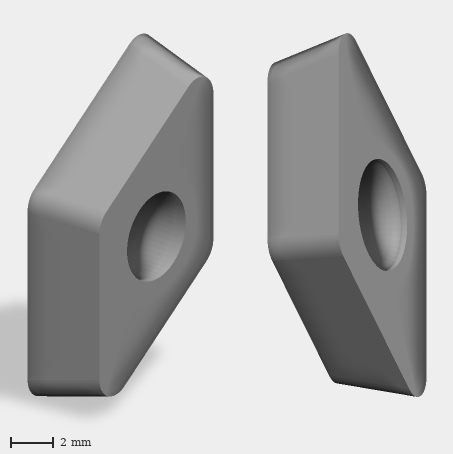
import cadquery as cq
import math

thickness = 3.96
inscribed_diameter = 9.52
acute_angle = 55.0
relief_angle = 7.0
corner_radius = 1.184

hole_diameter = 4.41
mouth_diameter = 5.32
lip_depth = 0.3
lip_taper = 0.03
mouth_depth = 1.77

half_angle = math.radians(acute_angle / 2)
face_x = -thickness / 2


def rounded_rhombus(half_width, x):
    """Closed wire at the given X, two sides along Z, equal radii on all corners."""
    long_reach = half_width / math.tan(half_angle)
    short_reach = half_width * math.tan(half_angle)
    corners = [
        (half_width, long_reach),
        (-half_width, short_reach),
        (-half_width, -long_reach),
        (half_width, -short_reach),
    ]
    outline = cq.Workplane("YZ", origin=(x, 0, 0)).polyline(corners).close().wire().val()
    return outline.fillet2D(corner_radius, outline.Vertices())


def insert_body():
    """Tapered body whose corner radius stays constant through the thickness."""
    half_width = inscribed_diameter / 2
    inset = thickness * math.tan(math.radians(relief_angle))
    large_face = rounded_rhombus(half_width, face_x)
    small_face = rounded_rhombus(half_width - inset, face_x + thickness)
    return cq.Workplane(cq.Solid.makeLoft([large_face, small_face], True))


def screw_hole():
    """Solid of revolution about X: lip, then a mouth curving tangentially into the bore."""
    bore_radius = hole_diameter / 2
    mouth_radius = mouth_diameter / 2
    lip_end_radius = mouth_radius - lip_taper
    curve_depth = mouth_depth - lip_depth
    flare = lip_end_radius - bore_radius
    arc_radius = (curve_depth**2 + flare**2) / (2 * flare)
    half_sweep = math.asin(curve_depth / arc_radius) / 2
    arc_middle = (
        face_x + mouth_depth - arc_radius * math.sin(half_sweep),
        bore_radius + arc_radius * (1 - math.cos(half_sweep)),
    )
    return (
        cq.Workplane("XY")
        .moveTo(face_x, 0)
        .lineTo(face_x, mouth_radius)
        .lineTo(face_x + lip_depth, lip_end_radius)
        .threePointArc(arc_middle, (face_x + mouth_depth, bore_radius))
        .lineTo(-face_x, bore_radius)
        .lineTo(-face_x, 0)
        .close()
        .revolve(360, (0, 0, 0), (1, 0, 0))
    )


result = insert_body().cut(screw_hole())